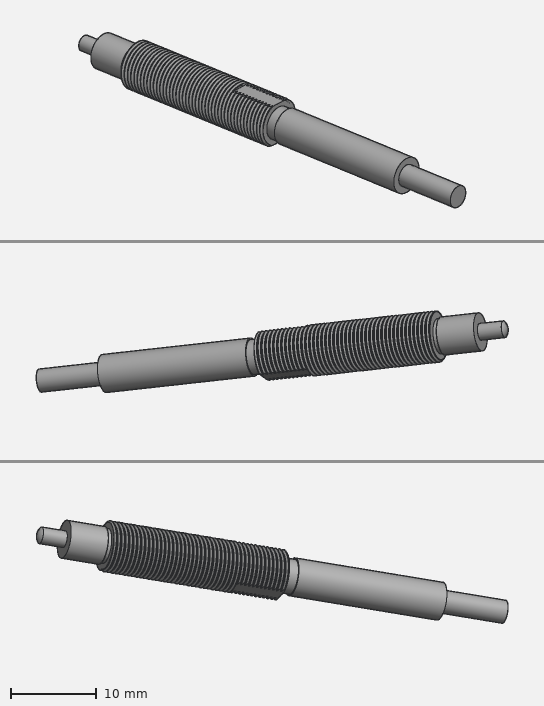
import cadquery as cq
import math

length = 58.4
dome_length = 0.4
pin_end = 3.4
collar_end = 8.05
thread_start = 8.5
thread_length = 22.0
thread_end = thread_start + thread_length
neck_end = 31.9
body_end = 50.4

pin_radius = 1.0
body_radius = 2.25
neck_radius = 2.075
tail_radius = 1.37

thread_radius = 3.01
thread_depth = 0.3
thread_turns = 44
thread_angle = -50
root_radius = thread_radius - thread_depth
pitch = thread_length / thread_turns
crest_width = pitch / 8
flank_width = thread_depth * math.tan(math.radians(30))
root_width = pitch - crest_width - 2 * flank_width

flat_length = 5.95
across_flats = 5.15

center_x = length / 2


def shaft():
    """Plain stepped shaft with a domed pin, running the whole length of the part."""
    dome_radius = (pin_radius**2 + dome_length**2) / (2 * dome_length)
    dome_mid_x = dome_length / 2
    dome_mid_radius = math.sqrt(dome_radius**2 - (dome_radius - dome_mid_x) ** 2)
    outline = (
        cq.Workplane("XY")
        .moveTo(0, 0)
        .threePointArc((dome_mid_x, dome_mid_radius), (dome_length, pin_radius))
        .lineTo(pin_end, pin_radius)
    )
    steps = [
        (collar_end, body_radius),
        (neck_end, neck_radius),
        (body_end, body_radius),
        (length, tail_radius),
    ]
    start = pin_end
    for end, radius in steps:
        outline = outline.lineTo(start, radius).lineTo(end, radius)
        start = end
    solid = outline.lineTo(length, 0).close().revolve(360, (0, 0, 0), (1, 0, 0))
    return solid.translate((-center_x, 0, 0))


def helix_turn(radius, height):
    """One turn of helix about Z, starting at the given height."""
    turn = cq.Wire.makeHelix(pitch, pitch, radius).translate(cq.Vector(0, 0, height))
    return turn.Edges()[0]


def end_faces(profile, height):
    """Close one end of the screw: a helical ramp and the radial step beside it."""
    axis = cq.Edge.makeLine(cq.Vector(0, 0, height), cq.Vector(0, 0, height + pitch))
    ramp = cq.Face.makeRuledSurface(axis, helix_turn(root_radius, height))
    corners = [(0, 0)] + profile + [(0, pitch)]
    points = [cq.Vector(radius, 0, height + rise) for radius, rise in corners]
    step = cq.Face.makeFromWires(cq.Wire.makePolygon(points, close=True))
    return [ramp, step]


def threaded_sleeve():
    """Screw thread built turn by turn from ruled faces, then trimmed square at both ends."""
    profile = [
        (root_radius, 0),
        (root_radius, root_width),
        (thread_radius, root_width + flank_width),
        (thread_radius, root_width + flank_width + crest_width),
        (root_radius, pitch),
    ]
    strips = [
        cq.Face.makeRuledSurface(helix_turn(*lower), helix_turn(*upper))
        for lower, upper in zip(profile, profile[1:])
    ]

    spare_turns = 2
    turns = thread_turns + 2 * spare_turns
    faces = end_faces(profile, 0) + end_faces(profile, turns * pitch)
    for turn in range(turns):
        lift = cq.Vector(0, 0, turn * pitch)
        faces += [strip.translate(lift) for strip in strips]
    screw = cq.Workplane(obj=cq.Solid.makeSolid(cq.Shell.makeShell(faces)))

    trim_start = spare_turns * pitch
    trim = (
        cq.Workplane("XY")
        .workplane(offset=trim_start)
        .rect(3 * thread_radius, 3 * thread_radius)
        .extrude(thread_length)
    )
    screw = screw.rotate((0, 0, 0), (0, 0, 1), thread_angle)
    sleeve = screw.intersect(trim)
    sleeve = sleeve.rotate((0, 0, 0), (0, 1, 0), 90)
    return sleeve.translate((thread_start - trim_start - center_x, 0, 0))


def flat_cutters():
    """Blocks above and below the thread that leave the two wrench flats."""
    block = (
        cq.Workplane("XY")
        .box(flat_length, 3 * thread_radius, thread_radius, centered=(False, True, False))
        .translate((thread_end - flat_length - center_x, 0, across_flats / 2))
    )
    return block.union(block.mirror("XY"))


sleeve = threaded_sleeve().cut(flat_cutters())
result = shaft().union(sleeve)